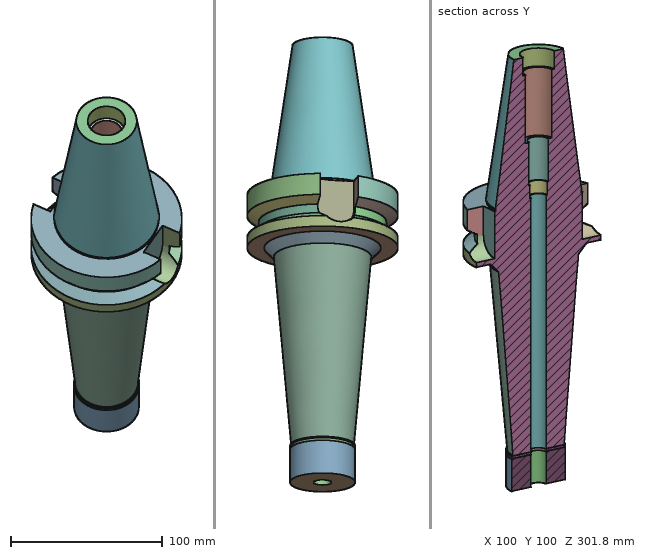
import cadquery as cq
import math

TOTAL_LENGTH = 301.8
NUT_HEIGHT = 22.5
RING_HEIGHT = 1.8
COLLAR_HEIGHT = 1.0
GAUGE_Z = 200.0
RELIEF_HEIGHT = 1.5
FLANGE_THICKNESS = 36.5

GAUGE_DIAMETER = 69.7
TAPER_RATIO = 7 / 24
RELIEF_DIAMETER = 68.8

FLANGE_DIAMETER = 100.0
GROOVE_DIAMETER = 84.8
UPPER_RIM_HEIGHT = 14.5
GROOVE_FLOOR_HEIGHT = 6.0
GROOVE_WALL_ANGLE = 30.0
SHOULDER_TOP_DIAMETER = 77.3
SHOULDER_HEIGHT = 6.3

SHANK_TOP_DIAMETER = 64.5
SHANK_END_DIAMETER = 41.5
NOSE_DIAMETER = 43.2

SLOT_WIDTH = 25.7
SLOT_FLOOR_X = 35.3
SLOT_DEPTH_Z = 33.0

COUNTERBORE_DIAMETER = 24.7
COUNTERBORE_DEPTH = 12.7
THREAD_BORE_DIAMETER = 20.8
THREAD_BORE_DEPTH = 60.5
GUIDE_BORE_DIAMETER = 15.0
GUIDE_BORE_DEPTH = 90.5
STEP_BORE_DIAMETER = 13.5
STEP_BORE_DEPTH = 99.5
THROUGH_BORE_DIAMETER = 11.8

ring_z = NUT_HEIGHT
collar_z = ring_z + RING_HEIGHT
shank_z = collar_z + COLLAR_HEIGHT
flange_top_z = GAUGE_Z - RELIEF_HEIGHT
flange_bottom_z = flange_top_z - FLANGE_THICKNESS
taper_end_diameter = GAUGE_DIAMETER - (TOTAL_LENGTH - GAUGE_Z) * TAPER_RATIO
groove_depth = (FLANGE_DIAMETER - GROOVE_DIAMETER) / 2
groove_wall_height = groove_depth * math.tan(math.radians(GROOVE_WALL_ANGLE))


def holder_blank():
    """Solid of revolution: collar, shank, flange with V groove, and steep taper."""
    upper_rim_z = flange_top_z - UPPER_RIM_HEIGHT
    groove_top_z = upper_rim_z - groove_wall_height
    groove_bottom_z = groove_top_z - GROOVE_FLOOR_HEIGHT
    lower_rim_z = groove_bottom_z - groove_wall_height
    outline = [
        (0, collar_z),
        (NOSE_DIAMETER / 2, collar_z),
        (NOSE_DIAMETER / 2, shank_z),
        (SHANK_END_DIAMETER / 2, shank_z),
        (SHANK_TOP_DIAMETER / 2, flange_bottom_z - SHOULDER_HEIGHT),
        (SHOULDER_TOP_DIAMETER / 2, flange_bottom_z),
        (FLANGE_DIAMETER / 2, flange_bottom_z),
        (FLANGE_DIAMETER / 2, lower_rim_z),
        (GROOVE_DIAMETER / 2, groove_bottom_z),
        (GROOVE_DIAMETER / 2, groove_top_z),
        (FLANGE_DIAMETER / 2, upper_rim_z),
        (FLANGE_DIAMETER / 2, flange_top_z),
        (RELIEF_DIAMETER / 2, flange_top_z),
        (RELIEF_DIAMETER / 2, GAUGE_Z),
        (GAUGE_DIAMETER / 2, GAUGE_Z),
        (taper_end_diameter / 2, TOTAL_LENGTH),
        (0, TOTAL_LENGTH),
    ]
    return cq.Workplane("YZ").polyline(outline).close().revolve(360, (0, 0), (0, 1))


def stepped_bore():
    """Cutter for the bore: each step reaches its depth below the taper end."""
    steps = [
        (COUNTERBORE_DIAMETER, COUNTERBORE_DEPTH),
        (THREAD_BORE_DIAMETER, THREAD_BORE_DEPTH),
        (GUIDE_BORE_DIAMETER, GUIDE_BORE_DEPTH),
        (STEP_BORE_DIAMETER, STEP_BORE_DEPTH),
        (THROUGH_BORE_DIAMETER, TOTAL_LENGTH),
    ]
    cutter = cq.Workplane("XY")
    for diameter, depth in steps:
        cutter = cutter.union(
            cq.Workplane("XY").workplane(offset=TOTAL_LENGTH - depth).circle(diameter / 2).extrude(depth)
        )
    return cutter


def drive_slot(side):
    """Cutter for one drive slot, open at the flange face and rounded at its lower end."""
    half_width = SLOT_WIDTH / 2
    arc_center_z = flange_top_z - SLOT_DEPTH_Z + half_width
    return (
        cq.Workplane("YZ", origin=(side * SLOT_FLOOR_X, 0, 0))
        .moveTo(-half_width, flange_top_z)
        .lineTo(-half_width, arc_center_z)
        .threePointArc((0, arc_center_z - half_width), (half_width, arc_center_z))
        .lineTo(half_width, flange_top_z)
        .close()
        .extrude(side * FLANGE_DIAMETER / 2)
    )


def make_holder():
    """Tool holder with its stepped bore and two opposite drive slots."""
    holder = holder_blank().cut(stepped_bore())
    for side in (-1, 1):
        holder = holder.cut(drive_slot(side))
    return holder


def make_nose_sleeve(bottom_z, height):
    """Plain sleeve around the through bore, flush with the holder collar."""
    return (
        cq.Workplane("XY")
        .workplane(offset=bottom_z)
        .circle(NOSE_DIAMETER / 2)
        .circle(THROUGH_BORE_DIAMETER / 2)
        .extrude(height)
    )


holder = make_holder()
spacer_ring = make_nose_sleeve(ring_z, RING_HEIGHT)
clamping_nut = make_nose_sleeve(0, NUT_HEIGHT)

result = cq.Compound.makeCompound([holder.val(), spacer_ring.val(), clamping_nut.val()])